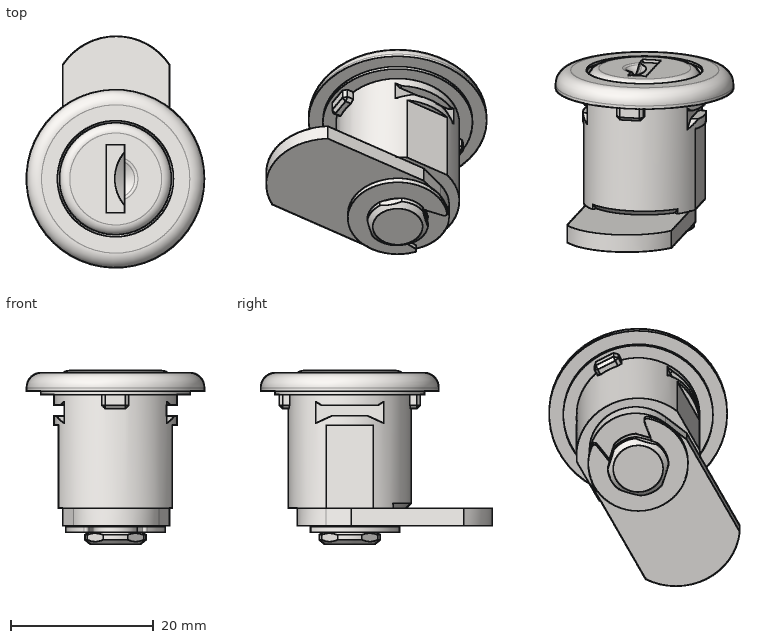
import cadquery as cq
import math


CORE_TOP = 2.9
FLANGE_TOP = 2.6
GASKET_THICKNESS = 0.5
BARREL_BOTTOM = -16.4
CAM_THICKNESS = 2.5
CAM_BOTTOM = BARREL_BOTTOM - CAM_THICKNESS
CLIP_THICKNESS = 0.8
CLIP_GAP = 0.1
CLIP_TOP = CAM_BOTTOM - CLIP_GAP
CLIP_BOTTOM = CLIP_TOP - CLIP_THICKNESS
SPINDLE_END = -21.5

FLANGE_RADIUS = 12.5
FLANGE_ROUND = 2.1
BARREL_RADIUS = 8.65
RIM_RADIUS = 8.15
RIM_DEPTH = 0.35
RIM_CHAMFER = 0.3
SIDE_FLAT_X = 8.0
SIDE_FLAT_TOP = -4.75
STOP_CHAMFER = 0.7
STOP_ANGLE = 90
STOP_TURN = 90 - STOP_ANGLE / 2

SLOT_FLOOR_X = 7.2
SLOT_END_Y = math.sqrt(BARREL_RADIUS**2 - SLOT_FLOOR_X**2)
SLOT_UPPER_Y = 4.0
SLOT_LOWER_Y = 2.5
SLOT_END_TOP = -1.45
SLOT_WAIST_TOP = -1.95
SLOT_WAIST_BOTTOM = -3.45
SLOT_END_BOTTOM = -4.5

LUG_WIDTH = 3.8
LUG_REACH = 9.9
LUG_BOTTOM = -2.45
LUG_CHAMFER = 0.5
LUG_EMBED = 1.0
LUG_ROOT_Y = BARREL_RADIUS - LUG_EMBED

GASKET_RADIUS = 10.5

HEAD_RADIUS = RIM_RADIUS - RIM_CHAMFER
HEAD_ROUND = 1.4
HEAD_BOTTOM = 0.0
CORE_RADIUS = 6.0
SPINDLE_RADIUS = 4.3
SPINDLE_ACROSS_FLATS = 8.0
GROOVE_RADIUS = 3.1
SPINDLE_SHOULDER_RADIUS = 3.8
SPINDLE_SHOULDER_HEIGHT = 0.35
SPINDLE_TIP_RADIUS = 3.5
SPINDLE_TIP_HEIGHT = 0.65

KEY_WIDTH = 2.6
KEY_LENGTH = 9.55
KEY_DEPTH = 0.45
KEY_FLOOR = CORE_TOP - KEY_DEPTH
KEY_FLOOR_ROUND = 0.2
CUT_CLEARANCE = 1.0
CUT_TOP = CORE_TOP + CUT_CLEARANCE
DISH_RADIUS = 2.87
DISH_DEPTH = 2.0
DISH_EDGE_ROUND = 0.8
FLOOR_DISH_X = 5.6
FLOOR_DISH_RADIUS = 5.7
FLOOR_DISH_SLOPE = 0.8
FLOOR_DISH_ROUND = 0.12
FLOOR_DISH_DEPTH = FLOOR_DISH_RADIUS * FLOOR_DISH_SLOPE

CAM_X = 0.1
CAM_HALF_WIDTH = 7.5
CAM_TIP_Y = 20.0
CAM_TIP_RADIUS = 9.0
CAM_HEEL_RADIUS = 6.5
CAM_HEEL_Y = -0.9
CAM_HEEL_ANGLE = math.radians(22.5)

CLIP_RADIUS = 7.0
CLIP_MOUTH_HALF_ANGLE = math.radians(8.5)
CLIP_MOUTH_ROUND = 0.4


def cylinder(radius, bottom, top):
    return cq.Workplane("XY").workplane(offset=bottom).circle(radius).extrude(top - bottom)


def block(width_x, width_y, bottom, top):
    return cq.Workplane("XY").workplane(offset=bottom).rect(width_x, width_y).extrude(top - bottom)


def make_lug():
    """Chamfered lug on the +Y side of the barrel."""
    length = LUG_REACH - LUG_ROOT_Y
    lug = block(LUG_WIDTH, length, LUG_BOTTOM, -GASKET_THICKNESS)
    lug = lug.translate((0, LUG_ROOT_Y + length / 2, 0))
    return lug.edges("(>Y and |Z) or (<Z and (not <Y))").chamfer(LUG_CHAMFER)


def make_bow_tie_cutter():
    """Bow-tie prism along X, from the slot floor outward on the +X side."""
    outline = [
        (SLOT_END_Y, SLOT_END_TOP),
        (SLOT_UPPER_Y, SLOT_WAIST_TOP),
        (-SLOT_UPPER_Y, SLOT_WAIST_TOP),
        (-SLOT_END_Y, SLOT_END_TOP),
        (-SLOT_END_Y, SLOT_END_BOTTOM),
        (-SLOT_LOWER_Y, SLOT_WAIST_BOTTOM),
        (SLOT_LOWER_Y, SLOT_WAIST_BOTTOM),
        (SLOT_END_Y, SLOT_END_BOTTOM),
    ]
    depth = FLANGE_RADIUS - SLOT_FLOOR_X
    return cq.Workplane("YZ").workplane(offset=SLOT_FLOOR_X).polyline(outline).close().extrude(depth)


def make_side_flat_cutter():
    """Slab that leaves the flat below the bow-tie slot on the +X side."""
    depth = FLANGE_RADIUS - SIDE_FLAT_X
    slab = block(depth, 2 * BARREL_RADIUS, BARREL_BOTTOM, SIDE_FLAT_TOP)
    return slab.translate((SIDE_FLAT_X + depth / 2, 0, 0))


def make_stop_cutter():
    """Sector of a bottom-edge chamfer, centred on +Y."""
    sector = (
        cq.Workplane("XZ")
        .moveTo(BARREL_RADIUS, BARREL_BOTTOM)
        .lineTo(BARREL_RADIUS, BARREL_BOTTOM + STOP_CHAMFER)
        .lineTo(BARREL_RADIUS - STOP_CHAMFER, BARREL_BOTTOM)
        .close()
        .revolve(STOP_ANGLE, (0, 0, 0), (0, 1, 0))
    )
    return sector.rotate((0, 0, 0), (0, 0, 1), STOP_TURN)


def make_housing():
    """Flange and barrel, bored for the core."""
    flange = cylinder(FLANGE_RADIUS, 0, FLANGE_TOP).faces(">Z").edges().fillet(FLANGE_ROUND)
    housing = flange.union(cylinder(BARREL_RADIUS, BARREL_BOTTOM, 0))
    for angle in (0, 180):
        housing = housing.union(make_lug().rotate((0, 0, 0), (0, 0, 1), angle))
    for angle in (0, 180):
        housing = housing.cut(make_bow_tie_cutter().rotate((0, 0, 0), (0, 0, 1), angle))
        housing = housing.cut(make_side_flat_cutter().rotate((0, 0, 0), (0, 0, 1), angle))
    housing = housing.cut(make_stop_cutter())
    rim_floor = FLANGE_TOP - RIM_DEPTH
    bore = (
        cq.Workplane("XZ")
        .moveTo(0, BARREL_BOTTOM)
        .lineTo(CORE_RADIUS, BARREL_BOTTOM)
        .lineTo(CORE_RADIUS, HEAD_BOTTOM)
        .lineTo(HEAD_RADIUS, HEAD_BOTTOM)
        .lineTo(HEAD_RADIUS, rim_floor - RIM_CHAMFER)
        .lineTo(RIM_RADIUS, rim_floor)
        .lineTo(RIM_RADIUS, FLANGE_TOP)
        .lineTo(0, FLANGE_TOP)
        .close()
        .revolve(360, (0, 0, 0), (0, 1, 0))
    )
    return housing.cut(bore)


def make_gasket():
    """Flat ring under the flange, around the barrel."""
    ring = cylinder(GASKET_RADIUS, -GASKET_THICKNESS, 0)
    return ring.cut(cylinder(BARREL_RADIUS, -GASKET_THICKNESS, 0))


def make_spindle():
    """Square spindle with rounded corners, a clip groove and a chamfered end."""
    turned = (
        cq.Workplane("XZ")
        .moveTo(0, BARREL_BOTTOM)
        .lineTo(SPINDLE_RADIUS, BARREL_BOTTOM)
        .lineTo(SPINDLE_RADIUS, CLIP_TOP)
        .lineTo(GROOVE_RADIUS, CLIP_TOP)
        .lineTo(GROOVE_RADIUS, CLIP_BOTTOM)
        .lineTo(SPINDLE_SHOULDER_RADIUS, CLIP_BOTTOM)
        .lineTo(SPINDLE_RADIUS, CLIP_BOTTOM - SPINDLE_SHOULDER_HEIGHT)
        .lineTo(SPINDLE_RADIUS, SPINDLE_END + SPINDLE_TIP_HEIGHT)
        .lineTo(SPINDLE_TIP_RADIUS, SPINDLE_END)
        .lineTo(0, SPINDLE_END)
        .close()
        .revolve(360, (0, 0, 0), (0, 1, 0))
    )
    return turned.intersect(make_spindle_square(SPINDLE_END, BARREL_BOTTOM))


def make_spindle_square(bottom, top):
    """Square prism of the spindle flats, standing on its corners."""
    square = block(SPINDLE_ACROSS_FLATS, SPINDLE_ACROSS_FLATS, bottom, top)
    return square.rotate((0, 0, 0), (0, 0, 1), 45)


def make_finger_dish():
    """Cutter for the conical dish with a rounded lip, on the +X half of the core's face."""
    slope = math.atan2(DISH_DEPTH, DISH_RADIUS)
    tangent = DISH_EDGE_ROUND * math.tan(slope / 2)
    lip_radius = DISH_RADIUS + tangent
    lip_middle = (
        lip_radius - DISH_EDGE_ROUND * math.sin(slope / 2),
        CORE_TOP - DISH_EDGE_ROUND * (1 - math.cos(slope / 2)),
    )
    lip_end = (DISH_RADIUS - tangent * math.cos(slope), CORE_TOP - tangent * math.sin(slope))
    dish = (
        cq.Workplane("XZ")
        .moveTo(0, CORE_TOP)
        .lineTo(lip_radius, CORE_TOP)
        .threePointArc(lip_middle, lip_end)
        .lineTo(0, CORE_TOP - DISH_DEPTH)
        .close()
        .revolve(360, (0, 0, 0), (0, 1, 0))
    )
    half = block(HEAD_RADIUS, 2 * HEAD_RADIUS, HEAD_BOTTOM, CORE_TOP)
    return dish.intersect(half.translate((HEAD_RADIUS / 2, 0, 0)))


def make_key_recess():
    """Cutter for the shallow key recess, its floor rounded into the +X wall."""
    recess = block(KEY_WIDTH, KEY_LENGTH, KEY_FLOOR, CUT_TOP)
    return recess.edges(">X and <Z").fillet(KEY_FLOOR_ROUND)


def make_floor_dish():
    """Cutter for the conical dish in the recess floor, rounded into the +X wall."""
    bottom = KEY_FLOOR - FLOOR_DISH_DEPTH
    height = CUT_TOP - bottom
    cone = cq.Solid.makeCone(
        height / FLOOR_DISH_SLOPE,
        0,
        height,
        cq.Vector(FLOOR_DISH_X, 0, CUT_TOP),
        cq.Vector(0, 0, -1),
    )
    dish = block(KEY_WIDTH, KEY_LENGTH, bottom, CUT_TOP).intersect(cq.Workplane(cone))
    return dish.faces(">X").edges("not (>Z or |Z)").fillet(FLOOR_DISH_ROUND)


def make_core():
    """Lock cylinder: rounded head, plain body and spindle."""
    head = cylinder(HEAD_RADIUS, HEAD_BOTTOM, CORE_TOP).faces(">Z").edges().fillet(HEAD_ROUND)
    head = head.cut(make_key_recess()).cut(make_floor_dish()).cut(make_finger_dish())
    return head.union(cylinder(CORE_RADIUS, BARREL_BOTTOM, HEAD_BOTTOM)).union(make_spindle())


def make_cam():
    """Flat locking arm toward +Y, with a round heel joined by tangent sides."""
    heel_x = CAM_HEEL_RADIUS * math.cos(CAM_HEEL_ANGLE)
    heel_y = CAM_HEEL_Y - CAM_HEEL_RADIUS * math.sin(CAM_HEEL_ANGLE)
    side_start_y = heel_y + (CAM_HALF_WIDTH - heel_x) / math.tan(CAM_HEEL_ANGLE)
    tip_centre_y = CAM_TIP_Y - CAM_TIP_RADIUS
    corner_y = tip_centre_y + math.sqrt(CAM_TIP_RADIUS**2 - CAM_HALF_WIDTH**2)
    cam = (
        cq.Workplane("XY")
        .workplane(offset=CAM_BOTTOM)
        .moveTo(-CAM_HALF_WIDTH, corner_y)
        .threePointArc((0, CAM_TIP_Y), (CAM_HALF_WIDTH, corner_y))
        .lineTo(CAM_HALF_WIDTH, side_start_y)
        .lineTo(heel_x, heel_y)
        .threePointArc((0, CAM_HEEL_Y - CAM_HEEL_RADIUS), (-heel_x, heel_y))
        .lineTo(-CAM_HALF_WIDTH, side_start_y)
        .close()
        .extrude(CAM_THICKNESS)
        .translate((CAM_X, 0, 0))
    )
    hole = cylinder(SPINDLE_RADIUS, CAM_BOTTOM, BARREL_BOTTOM)
    return cam.cut(hole.intersect(make_spindle_square(CAM_BOTTOM, BARREL_BOTTOM)))


def make_clip():
    """Open retaining clip in the spindle groove, its mouth toward -Y."""
    inner_x = GROOVE_RADIUS * math.cos(CLIP_MOUTH_HALF_ANGLE)
    inner_y = -GROOVE_RADIUS * math.sin(CLIP_MOUTH_HALF_ANGLE)
    outer_x = inner_x + (CLIP_RADIUS + inner_y) * math.tan(CLIP_MOUTH_HALF_ANGLE)
    mouth = (
        cq.Workplane("XY")
        .workplane(offset=CLIP_BOTTOM)
        .polyline([(-inner_x, inner_y), (inner_x, inner_y), (outer_x, -CLIP_RADIUS), (-outer_x, -CLIP_RADIUS)])
        .close()
        .extrude(CLIP_THICKNESS)
    )
    clip = cylinder(CLIP_RADIUS, CLIP_BOTTOM, CLIP_TOP).cut(mouth)
    clip = clip.cut(cylinder(GROOVE_RADIUS, CLIP_BOTTOM, CLIP_TOP))
    return clip.edges("|Z and <Y").fillet(CLIP_MOUTH_ROUND)


housing = make_housing()
gasket = make_gasket()
core = make_core()
cam = make_cam()
clip = make_clip()

bodies = [housing, gasket, core, cam, clip]
result = cq.Compound.makeCompound([body.solids().val() for body in bodies])